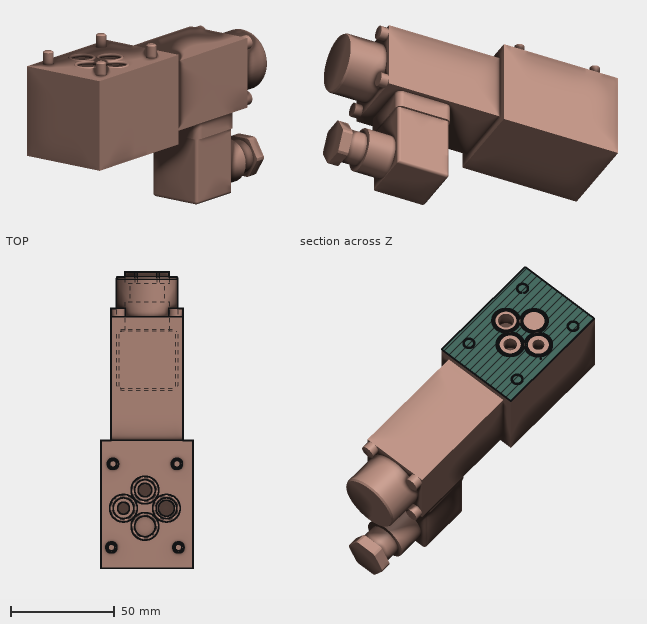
import cadquery as cq
import math


BODY_WIDTH = 44.7
BODY_LENGTH = 62.0
BODY_HEIGHT = 45.0

PATTERN_X = -1.0
SCREW_DIAMETER = 5.0
SCREW_HOLE_DIAMETER = 5.4
SCREW_HOLE_DEPTH = 10.0
SCREW_PROTRUSION = 6.5
SCREW_TIP_HEIGHT = 0.6
SCREW_TIP_INSET = 0.8
FRONT_SCREW_Y = 10.1
FRONT_SCREW_SPACING = 32.5
ROW_SPACING = 40.5
REAR_SCREW_Y = FRONT_SCREW_Y + ROW_SPACING
REAR_SCREW_SPACING = 31.0

PORTS_FROM_FRONT_SCREWS = 19.0
PORT_Y = FRONT_SCREW_Y + PORTS_FROM_FRONT_SCREWS
SIDE_PORT_OFFSET = 10.4
END_PORT_OFFSET = 8.8
PORT_DEPTH = 10.0
SEAL_OUTER_DIAMETER = 13.6
SEAL_SECTION = 1.8
SEAL_PROTRUSION = 0.4
SEAL_SEATING = 0.1
RECESS_DIAMETER = SEAL_OUTER_DIAMETER - 2 * SEAL_SEATING
RECESS_DEPTH = SEAL_SECTION - SEAL_PROTRUSION - SEAL_SEATING
LEFT_PORT_DIAMETER = 5.8
RIGHT_PORT_DIAMETER = 7.8
REAR_PORT_DIAMETER = 6.6

COIL_SIZE = 35.0
COIL_LENGTH = 60.0
COIL_END_Y = BODY_LENGTH + COIL_LENGTH
COIL_TOP_Z = -5.25
COIL_AXIS_Z = COIL_TOP_Z - COIL_SIZE / 2
COIL_BOTTOM_Z = COIL_TOP_Z - COIL_SIZE
CAP_DIAMETER = 30.0
CAP_LENGTH = 19.2
CAP_CHAMFER_LENGTH = 1.0
CAP_CHAMFER_INSET = 0.5
CAP_SCREW_DIAMETER = 7.0
CAP_SCREW_LENGTH = 4.0
CAP_SCREW_SPACING = COIL_SIZE - CAP_SCREW_DIAMETER

PLUG_Y = 101.1
SOCKET_SIZE_X = 29.9
SOCKET_SIZE_Y = 29.5
SOCKET_HEIGHT = 9.1
SOCKET_CORNER_RADIUS = 3.2
PLUG_SIZE_X = 27.4
PLUG_SIZE_Y = 27.9
PLUG_BOTTOM_Z = -82.53
PLUG_EDGE_RADIUS = 1.5
PLUG_TOP_Z = COIL_BOTTOM_Z - SOCKET_HEIGHT
PLUG_FACE_Y = PLUG_Y + PLUG_SIZE_Y / 2
PLUG_HEIGHT = PLUG_TOP_Z - PLUG_BOTTOM_Z

GLAND_AXIS_Z = -71.1
GLAND_BASE_DIAMETER = 21.8
GLAND_BASE_END_Y = 129.2
GLAND_NECK_DIAMETER = 16.6
GLAND_NECK_END_Y = 138.2
GLAND_NUT_END_Y = 143.61
GLAND_NUT_FLATS = 19.2
GLAND_NUT_DIAMETER = 21.4


def box_on_top(size_x, size_y, height, center_y, top_z):
    """Box centred on X = 0 that hangs down from top_z."""
    return cq.Workplane("XY", origin=(0, center_y, top_z)).rect(size_x, size_y).extrude(-height)


def section_at(y, axis_z):
    """Workplane across the Y axis; its local axes are +X and +Z, and its normal is -Y."""
    return cq.Workplane("XZ", origin=(0, y, axis_z))


def rod(diameter, start_y, end_y, axis_z):
    """Round bar along +Y from start_y to end_y."""
    return section_at(start_y, axis_z).circle(diameter / 2).extrude(start_y - end_y)


def mounting_screw_points():
    rows = (
        (FRONT_SCREW_Y, FRONT_SCREW_SPACING),
        (REAR_SCREW_Y, REAR_SCREW_SPACING),
    )
    return [(PATTERN_X + side * spacing / 2, y) for y, spacing in rows for side in (-1, 1)]


def seal_points():
    """Four seal positions: left and right, then rear and front."""
    sides = [(PATTERN_X + side * SIDE_PORT_OFFSET, PORT_Y) for side in (-1, 1)]
    ends = [(PATTERN_X, PORT_Y + end * END_PORT_OFFSET) for end in (1, -1)]
    return sides + ends


def seal_ring(x, y):
    section_radius = SEAL_SECTION / 2
    ring_radius = SEAL_OUTER_DIAMETER / 2 - section_radius
    ring = cq.Solid.makeTorus(ring_radius, section_radius)
    return cq.Workplane(obj=ring.translate(cq.Vector(x, y, SEAL_PROTRUSION - section_radius)))


def mounting_screws():
    """Screw ends standing on the floors of their holes, with coned tips."""
    radius = SCREW_DIAMETER / 2
    profile = (
        cq.Workplane("XZ")
        .moveTo(0, -SCREW_HOLE_DEPTH)
        .lineTo(radius, -SCREW_HOLE_DEPTH)
        .lineTo(radius, SCREW_PROTRUSION - SCREW_TIP_HEIGHT)
        .lineTo(radius - SCREW_TIP_INSET, SCREW_PROTRUSION)
        .lineTo(0, SCREW_PROTRUSION)
        .close()
    )
    screw = profile.revolve(360, (0, 0, 0), (0, 1, 0)).val()
    return [screw.translate(cq.Vector(x, y, 0)) for x, y in mounting_screw_points()]


def valve_body():
    body = box_on_top(BODY_WIDTH, BODY_LENGTH, BODY_HEIGHT, BODY_LENGTH / 2, 0)
    face = cq.Workplane("XY")
    body = body.cut(
        face.pushPoints(mounting_screw_points()).circle(SCREW_HOLE_DIAMETER / 2).extrude(-SCREW_HOLE_DEPTH)
    )
    for screw in mounting_screws():
        body = body.union(cq.Workplane(obj=screw))

    seats = seal_points()
    body = body.cut(face.pushPoints(seats).circle(RECESS_DIAMETER / 2).extrude(-RECESS_DEPTH))
    diameters = [LEFT_PORT_DIAMETER, RIGHT_PORT_DIAMETER, REAR_PORT_DIAMETER]
    for point, diameter in zip(seats, diameters):
        body = body.cut(face.pushPoints([point]).circle(diameter / 2).extrude(-PORT_DEPTH))
    for x, y in seats:
        body = body.union(seal_ring(x, y))
    return body


def solenoid():
    coil = box_on_top(COIL_SIZE, COIL_LENGTH, COIL_SIZE, BODY_LENGTH + COIL_LENGTH / 2, COIL_TOP_Z)
    cap = rod(CAP_DIAMETER, COIL_END_Y, COIL_END_Y + CAP_LENGTH, COIL_AXIS_Z)
    cap = cap.faces(">Y").chamfer(CAP_CHAMFER_LENGTH, CAP_CHAMFER_INSET)
    cap_screws = (
        section_at(COIL_END_Y, COIL_AXIS_Z)
        .rect(CAP_SCREW_SPACING, CAP_SCREW_SPACING, forConstruction=True)
        .vertices()
        .circle(CAP_SCREW_DIAMETER / 2)
        .extrude(-CAP_SCREW_LENGTH)
    )
    return coil.union(cap).union(cap_screws)


def plug():
    socket = box_on_top(SOCKET_SIZE_X, SOCKET_SIZE_Y, SOCKET_HEIGHT, PLUG_Y, COIL_BOTTOM_Z)
    socket = socket.edges("|Z").fillet(SOCKET_CORNER_RADIUS)
    housing = box_on_top(PLUG_SIZE_X, PLUG_SIZE_Y, PLUG_HEIGHT, PLUG_Y, PLUG_TOP_Z)
    housing = housing.edges("|Z or (<Z exc >Y)").fillet(PLUG_EDGE_RADIUS)
    return socket.union(housing)


def cable_gland():
    base = rod(GLAND_BASE_DIAMETER, PLUG_FACE_Y, GLAND_BASE_END_Y, GLAND_AXIS_Z)
    neck = rod(GLAND_NECK_DIAMETER, GLAND_BASE_END_Y, GLAND_NECK_END_Y, GLAND_AXIS_Z)
    hexagon = (
        section_at(GLAND_NECK_END_Y, GLAND_AXIS_Z)
        .polygon(6, GLAND_NUT_FLATS / math.cos(math.pi / 6))
        .extrude(GLAND_NECK_END_Y - GLAND_NUT_END_Y)
    )
    nut = hexagon.intersect(rod(GLAND_NUT_DIAMETER, GLAND_NECK_END_Y, GLAND_NUT_END_Y, GLAND_AXIS_Z))
    return base.union(neck).union(nut)


result = valve_body().union(solenoid()).union(plug()).union(cable_gland())